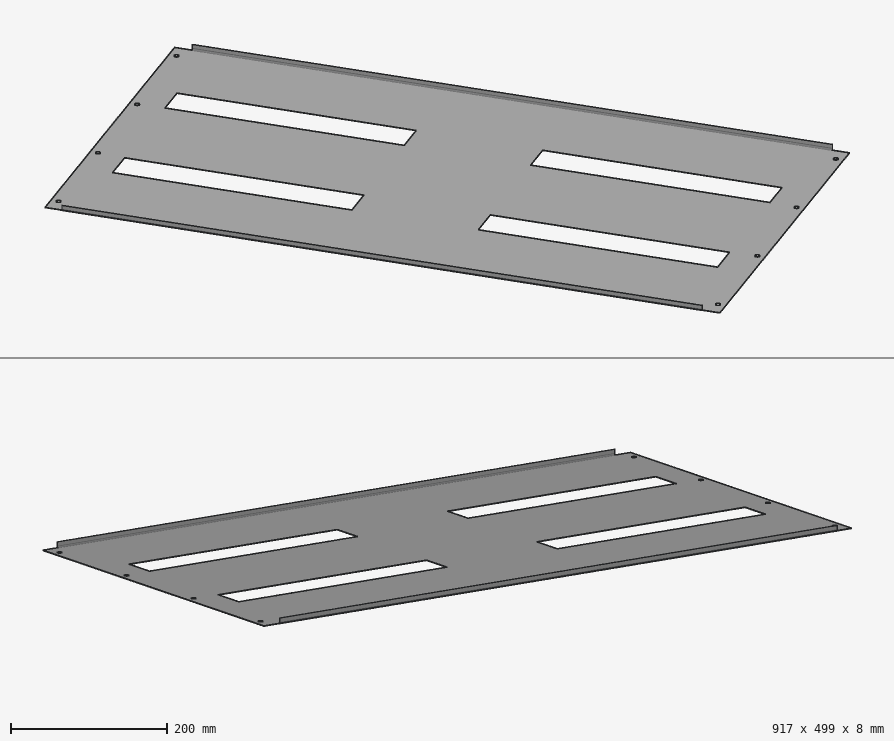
import cadquery as cq

panel_length = 917.0
panel_width = 499.0
panel_height = 8.0
sheet_thickness = 1.0

flange_end_gap = 23.5
flange_length = panel_length - 2 * flange_end_gap
inner_bend_radius = 1.0
outer_bend_radius = inner_bend_radius + sheet_thickness

end_strip_width = panel_width - 2 * outer_bend_radius

window_length = 325.0
window_width = 46.0
window_pitch_x = 497.0
window_pitch_y = 200.0

hole_diameter = 6.5
hole_edge_distance = 10.5
hole_pitch = 150.0
holes_per_side = 4
hole_column_spacing = panel_length - 2 * hole_edge_distance


def make_rounded_block(width, bend_radius):
    """Block as long as the flanges, with its two lower long edges rounded."""
    block = cq.Workplane("XY").box(
        flange_length, width, panel_height, centered=(True, True, False)
    )
    return block.edges("|X and <Z").fillet(bend_radius)


def make_flanged_sheet():
    """Shallow channel: the sheet with a bent-up flange along each long edge."""
    outside = make_rounded_block(panel_width, outer_bend_radius)
    inside = make_rounded_block(panel_width - 2 * sheet_thickness, inner_bend_radius)
    return outside.cut(inside.translate((0, 0, sheet_thickness)))


def make_end_strip(side):
    """Flat end of the sheet beyond the flanges, on the given side (+1 or -1) of X."""
    centre_x = side * (panel_length - flange_end_gap) / 2
    return (
        cq.Workplane("XY")
        .center(centre_x, 0)
        .box(flange_end_gap, end_strip_width, sheet_thickness, centered=(True, True, False))
    )


def make_window_cutters():
    return (
        cq.Workplane("XY")
        .rarray(window_pitch_x, window_pitch_y, 2, 2)
        .rect(window_length, window_width)
        .extrude(sheet_thickness)
    )


def make_hole_cutters():
    return (
        cq.Workplane("XY")
        .rarray(hole_column_spacing, hole_pitch, 2, holes_per_side)
        .circle(hole_diameter / 2)
        .extrude(sheet_thickness)
    )


panel = make_flanged_sheet()
for end_side in (-1, 1):
    panel = panel.union(make_end_strip(end_side))
panel = panel.cut(make_window_cutters())
result = panel.cut(make_hole_cutters())